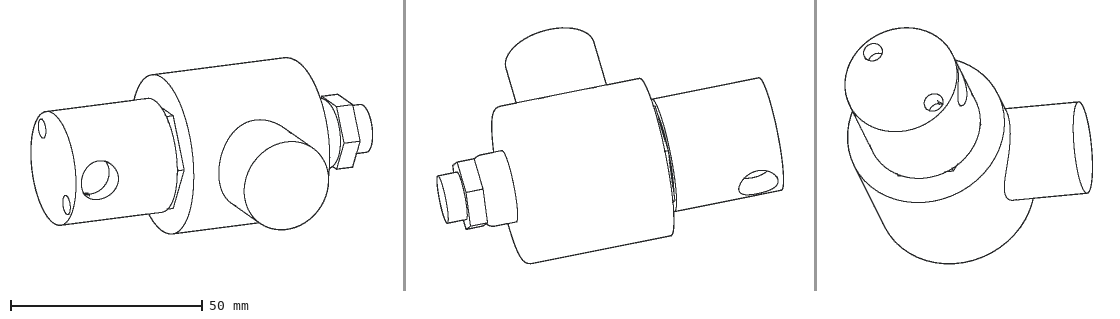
import cadquery as cq

HEAD_END = 28.8
HEX_START = 29.15
COIL_FRONT = 30.9
COIL_REAR = 70.2
NECK_END = 78.4
NUT_END = 82.9
STUB_END = 88.05

HEAD_DIAMETER = 30.0
COLLAR_DIAMETER = 24.0
HEX_ACROSS_CORNERS = 29.3
CORE_DIAMETER = 19.0
CORE_FILLET = 2.5
NUT_ACROSS_CORNERS = 19.8
STUB_DIAMETER = 12.7
PORT_DIAMETER = 10.6
PORT_STATION = 6.8
PORT_DEPTH = 6.2
MOUNT_HOLE_DIAMETER = 5.0
MOUNT_HOLE_DEPTH = 6.0
MOUNT_HOLE_NEAR = 7.5
MOUNT_HOLE_FAR = 8.7

COIL_DIAMETER = 42.0
OVERALL_WIDTH = 58.8
COIL_FILLET = 1.85
CONNECTOR_DIAMETER = 24.0
CONNECTOR_STATION = 50.0
CONNECTOR_REACH = OVERALL_WIDTH - COIL_DIAMETER / 2


def section_at(y):
    """Plane across the main axis at station y, extruding toward +Y; local x is +X, local y is -Z."""
    return cq.Workplane(cq.Plane(origin=(0, y, 0), xDir=(1, 0, 0), normal=(0, 1, 0)))


def cylinder(start, end, diameter):
    return section_at(start).circle(diameter / 2).extrude(end - start)


def hexagon(start, end, across_corners):
    """Hexagonal prism with two corners on the X axis."""
    return section_at(start).polygon(6, across_corners).extrude(end - start)


def side_port(side):
    """Blind port cutter entering the head from the -X (side = -1) or +X (side = 1) side."""
    mouth = cq.Plane(
        origin=(side * HEAD_DIAMETER / 2, PORT_STATION, 0), xDir=(0, 1, 0), normal=(-side, 0, 0)
    )
    return cq.Workplane(mouth).circle(PORT_DIAMETER / 2).extrude(PORT_DEPTH)


def mount_holes():
    """Two blind holes in the head face, placed symmetrically about the X = Z diagonal plane."""
    centers = [(-MOUNT_HOLE_NEAR, -MOUNT_HOLE_FAR), (MOUNT_HOLE_FAR, MOUNT_HOLE_NEAR)]
    return section_at(0).pushPoints(centers).circle(MOUNT_HOLE_DIAMETER / 2).extrude(MOUNT_HOLE_DEPTH)


def make_valve():
    core = cylinder(COIL_FRONT, NECK_END, CORE_DIAMETER).faces(">Y").edges().fillet(CORE_FILLET)
    valve = (
        cylinder(0, HEAD_END, HEAD_DIAMETER)
        .union(cylinder(HEAD_END, HEX_START, COLLAR_DIAMETER))
        .union(hexagon(HEX_START, COIL_FRONT, HEX_ACROSS_CORNERS))
        .union(core)
        .union(hexagon(NECK_END, NUT_END, NUT_ACROSS_CORNERS))
        .union(cylinder(NUT_END, STUB_END, STUB_DIAMETER))
    )
    for side in (-1, 1):
        valve = valve.cut(side_port(side))
    return valve.cut(mount_holes())


def make_coil():
    """Coil housing, bored through for the core tube."""
    shell = cylinder(COIL_FRONT, COIL_REAR, COIL_DIAMETER).faces(">Y").edges().fillet(COIL_FILLET)
    connector = (
        cq.Workplane("YZ").center(CONNECTOR_STATION, 0).circle(CONNECTOR_DIAMETER / 2).extrude(CONNECTOR_REACH)
    )
    bore = cylinder(COIL_FRONT, COIL_REAR, CORE_DIAMETER)
    return shell.union(connector).cut(bore)


valve = make_valve()
coil = make_coil()
result = cq.Compound.makeCompound([valve.val(), coil.val()])